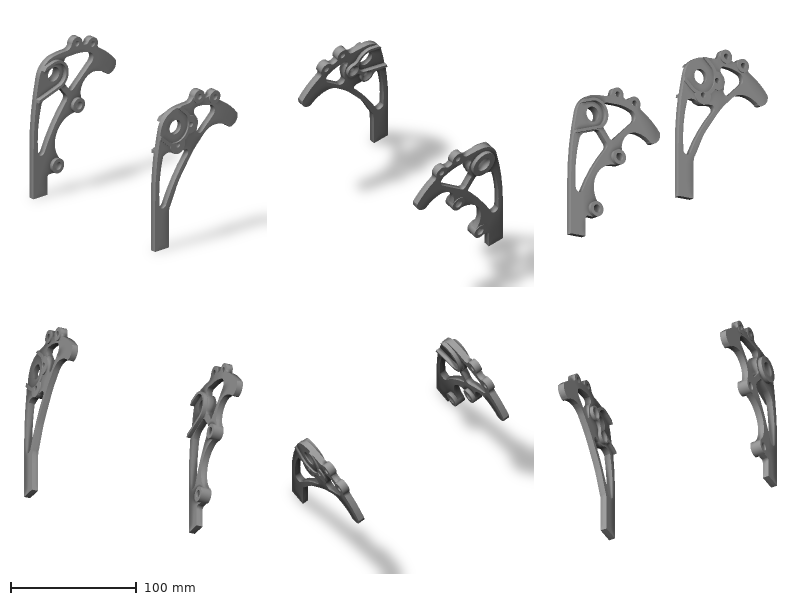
import cadquery as cq
import math


overall_width = 155.5
plate_thickness = 5.3
pivot_boss_height = 3.3
left_ring_height = 0.5
left_pad_height = 3.3
right_pad_height = 2.8
right_rim_height = 1.1
inner_floor_sink = 0.6
outer_floor_sink = 0.5

left_outer_face = pivot_boss_height
left_inner_face = left_outer_face + plate_thickness
left_pad_face = left_inner_face + left_pad_height
right_outer_face = overall_width - right_rim_height
right_inner_face = right_outer_face - plate_thickness
right_pad_face = right_inner_face - right_pad_height

pivot = (0.0, 0.0)
pivot_hole_radius = 6.0
pivot_boss_radius = 11.0

lugs = [(41.0, 15.0), (24.4, 19.9)]
lug_radius = 5.6
lug_hole_radius = 2.3

posts = [(23.8, -32.3), (1.5, -78.4)]
post_radius = 6.2
post_hole_radius = 3.3

screws = [(15.2, -1.4), (1.5, -15.4)]
screw_hole_radius = 2.2
countersink_radius = 4.8
screw_boss_radius = 6.2
screw_web_radius = 7.6
screw_blend_radius = 5.1
blend_reach = 16.3

channel_reach = 46.6
inner_channel_angle = 17.0
inner_channel_radius = 10.3
inner_wall_radius = 12.6
outer_channel_angle = -42.0
outer_channel_radius = 13.0
outer_wall_radius = 15.9

foot_front = -21.8
foot_back = -7.3
foot_bottom = -101.7
chin = (41.7, -9.0)


def layer(x):
    """Sketch plane across X: local axes are Y and Z, extrusion runs to +X."""
    return cq.Workplane("YZ", origin=(x, 0, 0))


def discs(centers, radius, x_start, x_end):
    return layer(x_start).pushPoints(centers).circle(radius).extrude(x_end - x_start)


def channel(radius, angle, x_start, x_end):
    """U shape: round about the pivot, running straight out toward the front edge."""
    depth = x_end - x_start
    straight = layer(x_start).center(-channel_reach / 2, 0).rect(channel_reach, 2 * radius).extrude(depth)
    straight = straight.rotate((0, 0, 0), (1, 0, 0), angle)
    return discs([pivot], radius, x_start, x_end).union(straight)


def on_circle(center, radius, degrees):
    turn = math.radians(degrees)
    return (center[0] + radius * math.cos(turn), center[1] + radius * math.sin(turn))


def front_and_head(x):
    """Edge shared by both plates: up the front, along the top and round the head to the chin.

    It runs in to the lug centres; the lug discs complete the rounds there.
    """
    rear_lug, front_lug = lugs
    return (
        layer(x)
        .moveTo(foot_front, foot_bottom)
        .lineTo(foot_front, -58.2)
        .threePointArc((-20.0, -28.0), (-15.2, 0.8))
        .threePointArc((-10.0, 10.5), (0.0, 15.7))
        .threePointArc((7.0, 16.5), (13.4, 16.6))
        .threePointArc((17.0, 17.9), on_circle(front_lug, lug_radius, 172))
        .lineTo(*front_lug)
        .lineTo(*on_circle(front_lug, lug_radius, -15))
        .threePointArc((33.5, 16.6), on_circle(rear_lug, lug_radius, 155))
        .lineTo(*rear_lug)
        .lineTo(*on_circle(rear_lug, lug_radius, -20))
        .threePointArc((46.6, 11.2), (47.9, 10.0))
        .threePointArc((55.8, 4.5), (65.8, -5.6))
        .threePointArc((64.7, -11.8), (59.9, -15.2))
        .threePointArc((57.8, -15.5), (55.8, -14.1))
        .threePointArc((49.1, -10.4), chin)
    )


def left_outline(x, depth):
    """Left plate profile; it runs in to the post centres, and the post discs complete it."""
    upper_post, lower_post = posts
    return (
        front_and_head(x)
        .threePointArc((32.3, -13.4), (28.1, -22.9))
        .threePointArc((28.3, -25.5), on_circle(upper_post, post_radius, 30))
        .lineTo(*upper_post)
        .lineTo(*on_circle(upper_post, post_radius, -100))
        .threePointArc((3.1, -50.0), on_circle(lower_post, post_radius, 48))
        .lineTo(*lower_post)
        .lineTo(*on_circle(lower_post, post_radius, -92))
        .lineTo(-5.1, -84.6)
        .threePointArc((-6.7, -85.4), (foot_back, -86.9))
        .lineTo(foot_back, foot_bottom)
        .close()
        .extrude(depth)
    )


def right_outline(x, depth):
    """Right plate profile, with one smooth rear edge and no posts."""
    return (
        front_and_head(x)
        .spline(
            [(28.5, -15.2), (19.6, -24.3), (10.9, -36.0), (2.5, -48.5), (-5.1, -65.2), (foot_back, -77.7)],
            tangents=[(-1, 0), (0, -1)],
            includeCurrent=True,
        )
        .lineTo(foot_back, foot_bottom)
        .close()
        .extrude(depth)
    )


def head_window_rear(x):
    """Rear end and top edge of the head window, shared by both plates."""
    return (
        layer(x)
        .moveTo(39.8, -0.6)
        .threePointArc((41.7, 3.7), (38.9, 8.2))
        .threePointArc((31.9, 10.5), (24.5, 11.5))
    )


def left_head_window(x, depth):
    return (
        head_window_rear(x)
        .lineTo(14.0, 11.5)
        .threePointArc((11.5, 10.4), (11.2, 6.2))
        .threePointArc((13.2, 0.0), (10.7, -7.6))
        .threePointArc((10.3, -9.2), (11.2, -11.0))
        .lineTo(15.9, -17.1)
        .threePointArc((18.3, -18.8), (20.8, -17.7))
        .close()
        .extrude(depth)
    )


def right_head_window(x, depth):
    return (
        head_window_rear(x)
        .lineTo(21.8, 11.5)
        .threePointArc((19.5, 8.7), (20.8, 5.0))
        .threePointArc((22.9, -1.4), (22.2, -9.0))
        .threePointArc((24.5, -11.8), (28.0, -11.4))
        .close()
        .extrude(depth)
    )


def leg_window_lower(x):
    """Long sides and bottom of the leg window, shared by both plates."""
    return (
        layer(x)
        .moveTo(-13.4, -21.6)
        .threePointArc((-17.0, -41.2), (-17.1, -63.8))
        .threePointArc((-14.0, -66.2), (-10.0, -63.8))
        .threePointArc((1.0, -43.2), (12.9, -26.9))
    )


def left_leg_window(x, depth):
    return (
        leg_window_lower(x)
        .threePointArc((14.0, -23.8), (12.8, -21.0))
        .lineTo(7.0, -13.8)
        .threePointArc((5.6, -12.8), (3.4, -12.6))
        .lineTo(-7.0, -15.9)
        .threePointArc((-10.9, -18.2), (-13.4, -21.6))
        .close()
        .extrude(depth)
    )


def right_leg_window(x, depth):
    return (
        leg_window_lower(x)
        .threePointArc((13.0, -23.6), (10.9, -22.0))
        .lineTo(5.5, -22.2)
        .threePointArc((0.8, -23.0), (-3.1, -21.6))
        .threePointArc((-8.7, -19.7), (-13.4, -21.6))
        .close()
        .extrude(depth)
    )


def make_left_plate():
    channel_floor = left_inner_face - inner_floor_sink
    pad = channel(inner_wall_radius, inner_channel_angle, left_inner_face, left_pad_face)
    pad = pad.intersect(left_outline(left_inner_face, left_pad_height))
    ring_face = left_outer_face - left_ring_height
    body = (
        left_outline(left_outer_face, plate_thickness)
        .union(pad)
        .cut(left_head_window(0, overall_width))
        .cut(left_leg_window(0, overall_width))
        .cut(channel(inner_channel_radius, inner_channel_angle, channel_floor, left_pad_face))
        .union(discs([pivot], pivot_boss_radius, 0, left_outer_face))
        .union(discs(lugs, lug_radius, ring_face, left_inner_face))
        .union(discs(posts, post_radius, ring_face, left_pad_face))
    )
    for centers, radius in [
        ([pivot], pivot_hole_radius),
        (lugs, lug_hole_radius),
        (posts, post_hole_radius),
    ]:
        body = body.cut(discs(centers, radius, 0, left_pad_face))
    return body


def countersink(center):
    """90 degree cone opening on the inner pad face of the right plate."""
    depth = countersink_radius - screw_hole_radius
    rim = cq.Vector(right_pad_face, *center)
    return cq.Solid.makeCone(countersink_radius, screw_hole_radius, depth, rim, cq.Vector(1, 0, 0))


def is_screw_blend_corner(edge):
    """True for the inward corners where a screw boss meets the channel wall."""
    spot = edge.Center()
    near_pivot = math.hypot(spot.y, spot.z) < blend_reach
    on_boss = any(
        math.isclose(math.dist((spot.y, spot.z), screw), screw_boss_radius, abs_tol=0.02) for screw in screws
    )
    return near_pivot and on_boss


def make_right_inner_pad():
    wall = channel(inner_wall_radius, inner_channel_angle, right_pad_face, right_inner_face)
    bosses = discs(screws, screw_boss_radius, right_pad_face, right_inner_face)
    return wall.union(bosses).edges("|X").filter(is_screw_blend_corner).fillet(screw_blend_radius)


def make_right_plate():
    inner_floor = right_inner_face + inner_floor_sink
    outer_floor = right_outer_face - outer_floor_sink
    inner_pad = make_right_inner_pad()
    outer_rim = channel(outer_wall_radius, outer_channel_angle, right_outer_face, overall_width)
    outer_rim = outer_rim.union(discs(screws, screw_web_radius, right_outer_face, overall_width))
    raised = inner_pad.union(outer_rim).intersect(right_outline(0, overall_width))
    body = (
        right_outline(right_inner_face, plate_thickness)
        .union(raised)
        .cut(right_head_window(0, overall_width))
        .cut(right_leg_window(0, overall_width))
        .cut(channel(inner_channel_radius, inner_channel_angle, right_pad_face, inner_floor))
        .cut(channel(outer_channel_radius, outer_channel_angle, outer_floor, overall_width))
        .union(discs(lugs, lug_radius, right_inner_face, overall_width))
    )
    for centers, radius in [
        ([pivot], pivot_hole_radius),
        (lugs, lug_hole_radius),
        (screws, screw_hole_radius),
    ]:
        body = body.cut(discs(centers, radius, right_pad_face, overall_width))
    for center in screws:
        body = body.cut(cq.Workplane(countersink(center)))
    return body


left_plate = make_left_plate()
right_plate = make_right_plate()

result = cq.Compound.makeCompound([left_plate.val(), right_plate.val()])